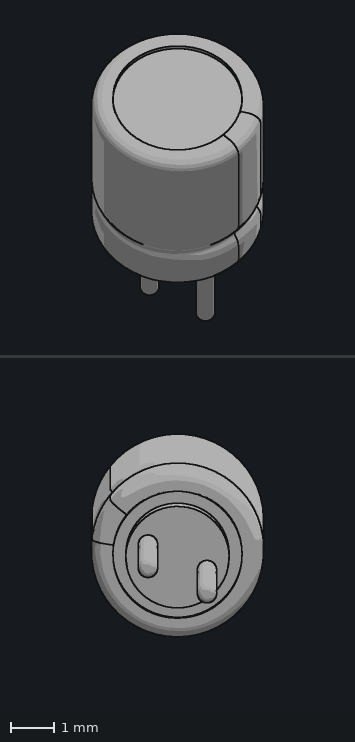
import cadquery as cq
import math


total_height = 8.0
base_bottom = 3.0
sleeve_bottom = 3.3

sleeve_radius = 4.0 / 2
can_radius = 3.6 / 2
end_opening_radius = 3.0 / 2
lip_thickness = 0.1
edge_round = 0.3
stripe_angle = 30.0

groove_height = 4.51
groove_half_width = 0.39
floor_half_width = 0.1
shoulder_radius = 3.8 / 2

base_radius = 2.4 / 2
pin_radius = 0.45 / 2
pin_spacing = 1.5
pin_tip_round = 0.12

can_bottom = sleeve_bottom + lip_thickness
can_top = total_height - lip_thickness

shoulder_depth = sleeve_radius - shoulder_radius
shoulder_width = groove_half_width - floor_half_width
shoulder_arc_radius = (shoulder_width**2 + shoulder_depth**2) / (2 * shoulder_depth)
shoulder_arc_angle = math.asin(shoulder_width / shoulder_arc_radius)
floor_arc_radius = floor_half_width / math.sin(shoulder_arc_angle)
floor_radius = shoulder_radius - floor_arc_radius * (1 - math.cos(shoulder_arc_angle))


def shoulder_midpoint(side):
    """Middle of a shoulder arc; side is -1 below the groove floor and +1 above it."""
    half_angle = shoulder_arc_angle / 2
    radius = sleeve_radius - shoulder_arc_radius * (1 - math.cos(half_angle))
    offset = groove_half_width - shoulder_arc_radius * math.sin(half_angle)
    return radius, groove_height + side * offset


def make_sleeve_sector(start_angle, sweep_angle):
    """Grooved, lipped sleeve wall revolved through part of a turn."""
    round_inset = edge_round * (1 - math.cos(math.radians(45)))
    profile = (
        cq.Workplane("XZ")
        .moveTo(end_opening_radius, sleeve_bottom)
        .lineTo(sleeve_radius - edge_round, sleeve_bottom)
        .threePointArc(
            (sleeve_radius - round_inset, sleeve_bottom + round_inset),
            (sleeve_radius, sleeve_bottom + edge_round),
        )
        .lineTo(sleeve_radius, groove_height - groove_half_width)
        .threePointArc(shoulder_midpoint(-1), (shoulder_radius, groove_height - floor_half_width))
        .threePointArc(
            (floor_radius, groove_height),
            (shoulder_radius, groove_height + floor_half_width),
        )
        .threePointArc(shoulder_midpoint(1), (sleeve_radius, groove_height + groove_half_width))
        .lineTo(sleeve_radius, total_height - edge_round)
        .threePointArc(
            (sleeve_radius - round_inset, total_height - round_inset),
            (sleeve_radius - edge_round, total_height),
        )
        .lineTo(end_opening_radius, total_height)
        .lineTo(end_opening_radius, can_top)
        .lineTo(can_radius, can_top)
        .lineTo(can_radius, can_bottom)
        .lineTo(end_opening_radius, can_bottom)
        .close()
    )
    sector = profile.revolve(sweep_angle, (0, 0, 0), (0, 1, 0))
    return sector.rotate((0, 0, 0), (0, 0, 1), start_angle)


def make_cylinder(radius, bottom, top):
    return cq.Workplane("XY").workplane(offset=bottom).circle(radius).extrude(top - bottom)


def make_pin(x):
    """Straight lead with a rounded tip, ending against the base."""
    pin = make_cylinder(pin_radius, 0, base_bottom).faces("<Z").edges().fillet(pin_tip_round)
    return pin.translate((x, 0, 0))


sleeve = make_sleeve_sector(stripe_angle / 2, 360 - stripe_angle)
stripe = make_sleeve_sector(-stripe_angle / 2, stripe_angle)
can = make_cylinder(can_radius, can_bottom, can_top)
base = make_cylinder(base_radius, base_bottom, can_bottom)
pins = [make_pin(side * pin_spacing / 2) for side in (-1, 1)]

result = cq.Compound.makeCompound(
    [sleeve.val(), stripe.val(), can.val(), base.val(), *[pin.val() for pin in pins]]
)